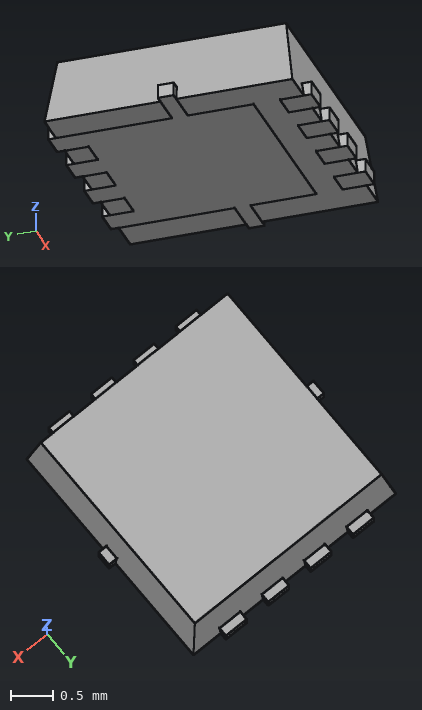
import cadquery as cq
import math

span = 3.3
housing_base = 3.11
housing_height = 0.85
side_draft = 8.0

frame_thickness = 0.17
lead_count = 4
lead_pitch = 0.65
lead_width = 0.32
lead_length = 0.395
tab_width = 0.198

housing_top = housing_base - 2 * housing_height * math.tan(math.radians(side_draft))
lead_xs = [(i - (lead_count - 1) / 2) * lead_pitch for i in range(lead_count)]
lead_gap = lead_pitch - lead_width
lead_inner_y = span / 2 - lead_length
pad_width = (lead_count - 1) * lead_pitch + lead_width
pad_front_y = -lead_inner_y + lead_gap


def frame_block(x_min, x_max, y_min, y_max):
    """Flat block of the lead frame, standing on the underside plane."""
    return (
        cq.Workplane("XY")
        .box(x_max - x_min, y_max - y_min, frame_thickness, centered=False)
        .translate((x_min, y_min, 0))
    )


def make_source_lead(x):
    """Separate lead on the -Y side, centred at x."""
    return frame_block(x - lead_width / 2, x + lead_width / 2, -span / 2, -lead_inner_y)


def make_drain_frame():
    """Die pad in one piece with the +Y leads and the two side tabs."""
    frame = frame_block(-pad_width / 2, pad_width / 2, pad_front_y, lead_inner_y)
    for x in lead_xs:
        frame = frame.union(
            frame_block(x - lead_width / 2, x + lead_width / 2, lead_inner_y, span / 2)
        )
    tab_bar = frame_block(-span / 2, span / 2, -tab_width / 2, tab_width / 2)
    return frame.union(tab_bar).clean()


def make_housing(embedded_bodies):
    """Tapered square housing with a matching recess for each embedded body."""
    housing = (
        cq.Workplane("XY")
        .rect(housing_base, housing_base)
        .workplane(offset=housing_height)
        .rect(housing_top, housing_top)
        .loft(ruled=True)
    )
    for body in embedded_bodies:
        housing = housing.cut(body)
    return housing


source_leads = [make_source_lead(x) for x in lead_xs]
drain_frame = make_drain_frame()
housing = make_housing([drain_frame, *source_leads])

result = cq.Compound.makeCompound(
    [housing.solids().val(), drain_frame.solids().val(), *[lead.val() for lead in source_leads]]
)